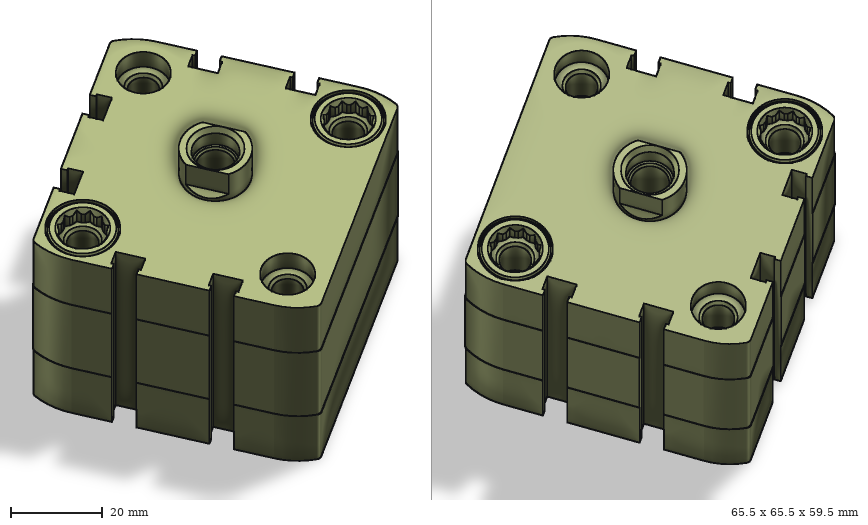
import cadquery as cq
import math

WIDTH = 65.5
HALF = WIDTH / 2
OVERALL_HEIGHT = 59.55
ROD_PROJECTION = 8.4
HOUSING_TOP = OVERALL_HEIGHT - ROD_PROJECTION
CAP_HEIGHT = 15.0
CAP_INSET = 0.1
CORNER_START = 23.0
CORNER_RADIUS = 18.35
CORNER_EDGE_RADIUS = 1.3

SLOT_OFFSET = 11.1
SLOT_MOUTH = 5.6
SLOT_INNER_WIDTH = 6.75
SLOT_LIP = 1.6
SLOT_DEPTH = 5.0

HOLE_OFFSET = 23.25
THROUGH_DIAMETER = 6.6
CAP_BORE_DIAMETER = 7.0
COUNTERSINK_DIAMETER = 8.4
COUNTERBORE_DIAMETER = 12.0
COUNTERBORE_DEPTH = 5.0

SOCKET_POINTS = 12
SOCKET_TIP_RADIUS = 5.7
SOCKET_BORE_DIAMETER = 10.5
SOCKET_MOUTH_DEPTH = 1.45
SOCKET_DEPTH = 4.25
COLLAR_GROOVE_DIAMETER = 16.4
COLLAR_BASE_DIAMETER = 15.5
COLLAR_TOP_DIAMETER = 14.6
COLLAR_GROOVE_DEPTH = 1.0

ROD_DIAMETER = 16.0
ROD_BOTTOM = CAP_HEIGHT
FLAT_WIDTH = 12.7
FLAT_LENGTH = 6.55
FLAT_RUNOUT = 1.05
ROD_MOUTH_DIAMETER = 12.65
ROD_BORE_DIAMETER = 10.5
ROD_BORE_DEPTH = 4.9
ROD_LEAD_IN_DIAMETER = 9.35
ROD_DRILL_DIAMETER = 8.4
ROD_DRILL_DEPTH = 19.65
DRILL_POINT_ANGLE = 118.0


def rounded_block(bottom, height, inset=0.0):
    """Square block whose four corners curve from the Y faces into the X faces."""
    half = HALF - inset
    start = CORNER_START
    centre = HALF - CORNER_RADIUS
    reach = half - start
    radius = CORNER_RADIUS - inset

    def on_corner(x_from_start):
        return centre + math.sqrt(radius ** 2 - x_from_start ** 2)

    mid = (start + reach / 2, on_corner(reach / 2))
    end = (half, on_corner(reach))
    outline = (
        cq.Workplane("XY", origin=(0, 0, bottom))
        .moveTo(-start, half)
        .lineTo(start, half)
        .threePointArc(mid, end)
        .lineTo(end[0], -end[1])
        .threePointArc((mid[0], -mid[1]), (start, -half))
        .lineTo(-start, -half)
        .threePointArc((-mid[0], -mid[1]), (-end[0], -end[1]))
        .lineTo(-end[0], end[1])
        .threePointArc((-mid[0], mid[1]), (-start, half))
        .close()
    )
    return outline.extrude(height).edges("|Z and (>X or <X)").fillet(CORNER_EDGE_RADIUS)


def t_slot(offset, side_angle):
    """Full-height T-slot cutter, cut into the side facing side_angle."""
    mouth = cq.Workplane("XY").box(
        SLOT_DEPTH, SLOT_MOUTH, HOUSING_TOP, centered=(False, True, False)
    )
    pocket = cq.Workplane("XY").box(
        SLOT_DEPTH - SLOT_LIP, SLOT_INNER_WIDTH, HOUSING_TOP, centered=(False, True, False)
    )
    return (
        mouth.union(pocket)
        .translate((HALF - SLOT_DEPTH, offset, 0))
        .rotate((0, 0, 0), (0, 0, 1), side_angle)
    )


def turned(profile):
    """Solid of revolution about Z from (radius, height) points."""
    return cq.Workplane("XZ").polyline(profile).close().revolve(360, (0, 0, 0), (0, 1, 0))


def through_hole(floor):
    """Stepped through hole with a countersink at the given floor height."""
    radius = THROUGH_DIAMETER / 2
    cap_radius = CAP_BORE_DIAMETER / 2
    sink_radius = COUNTERSINK_DIAMETER / 2
    cap_bottom = HOUSING_TOP - CAP_HEIGHT
    sink_bottom = floor - (sink_radius - cap_radius)
    return turned([
        (0, 0),
        (radius, 0),
        (radius, cap_bottom),
        (cap_radius, cap_bottom),
        (cap_radius, sink_bottom),
        (sink_radius, floor),
        (0, floor),
    ])


def counterbored_hole():
    """Through hole below a plain cylindrical counterbore."""
    floor = HOUSING_TOP - COUNTERBORE_DEPTH
    counterbore = (
        cq.Workplane("XY", origin=(0, 0, floor))
        .circle(COUNTERBORE_DIAMETER / 2)
        .extrude(COUNTERBORE_DEPTH)
    )
    return through_hole(floor).union(counterbore)


def twelve_point_star(floor, height):
    """Two hexagons, one turned by one point spacing, joined with the socket bore."""
    star = cq.Workplane("XY", origin=(0, 0, floor)).circle(SOCKET_BORE_DIAMETER / 2).extrude(height)
    for turn in (0, 360 / SOCKET_POINTS):
        hexagon = (
            cq.Workplane("XY", origin=(0, 0, floor))
            .polygon(6, 2 * SOCKET_TIP_RADIUS)
            .extrude(height)
            .rotate((0, 0, 0), (0, 0, 1), turn)
        )
        star = star.union(hexagon)
    return star


def socket_hole():
    """Through hole with a twelve-point socket, conical mouth and ring groove."""
    floor = HOUSING_TOP - SOCKET_DEPTH
    mouth_radius = COUNTERBORE_DIAMETER / 2
    bore_radius = SOCKET_BORE_DIAMETER / 2
    mouth_bottom = HOUSING_TOP - SOCKET_MOUTH_DEPTH
    mouth = turned(
        [(0, HOUSING_TOP), (mouth_radius, HOUSING_TOP), (bore_radius, mouth_bottom), (0, mouth_bottom)]
    )
    outer = COLLAR_GROOVE_DIAMETER / 2
    base = COLLAR_BASE_DIAMETER / 2
    top = COLLAR_TOP_DIAMETER / 2
    chamfer_bottom = HOUSING_TOP - (base - top)
    groove_floor = HOUSING_TOP - COLLAR_GROOVE_DEPTH
    groove = turned([
        (top, HOUSING_TOP),
        (base, chamfer_bottom),
        (base, groove_floor),
        (outer, groove_floor),
        (outer, HOUSING_TOP),
    ])
    return through_hole(floor).union(twelve_point_star(floor, SOCKET_DEPTH)).union(mouth).union(groove)


def rod_cylinder():
    """Plain rod envelope; it also cuts the matching hole in the housing."""
    return (
        cq.Workplane("XY", origin=(0, 0, ROD_BOTTOM))
        .circle(ROD_DIAMETER / 2)
        .extrude(OVERALL_HEIGHT - ROD_BOTTOM)
    )


def make_housing():
    """Barrel between two end caps, with slots, corner holes and the rod hole."""
    barrel_height = HOUSING_TOP - 2 * CAP_HEIGHT
    housing = (
        rounded_block(0, CAP_HEIGHT, CAP_INSET)
        .union(rounded_block(CAP_HEIGHT, barrel_height))
        .union(rounded_block(HOUSING_TOP - CAP_HEIGHT, CAP_HEIGHT, CAP_INSET))
    )
    for side_angle in (90, 180, 270):
        for offset in (-SLOT_OFFSET, SLOT_OFFSET):
            housing = housing.cut(t_slot(offset, side_angle))
    for side in (-HOLE_OFFSET, HOLE_OFFSET):
        housing = housing.cut(socket_hole().translate((side, side, 0)))
        housing = housing.cut(counterbored_hole().translate((side, -side, 0)))
    return housing.cut(rod_cylinder())


def wrench_flat():
    """Cutter for the flat on the +Y side, ending in a sloped run-out."""
    flat = FLAT_WIDTH / 2
    rod_radius = ROD_DIAMETER / 2
    ledge = OVERALL_HEIGHT - FLAT_LENGTH
    return (
        cq.Workplane("YZ")
        .polyline([
            (flat, OVERALL_HEIGHT),
            (flat, ledge),
            (rod_radius, ledge - FLAT_RUNOUT),
            (rod_radius, OVERALL_HEIGHT),
        ])
        .close()
        .extrude(rod_radius, both=True)
    )


def rod_bore():
    """Stepped blind hole with chamfered mouth and drill-point bottom."""
    mouth = ROD_MOUTH_DIAMETER / 2
    bore = ROD_BORE_DIAMETER / 2
    lead_in = ROD_LEAD_IN_DIAMETER / 2
    drill = ROD_DRILL_DIAMETER / 2
    step = OVERALL_HEIGHT - ROD_BORE_DEPTH
    drill_end = OVERALL_HEIGHT - ROD_DRILL_DEPTH
    tip = drill_end - drill / math.tan(math.radians(DRILL_POINT_ANGLE / 2))
    return turned([
        (0, OVERALL_HEIGHT),
        (mouth, OVERALL_HEIGHT),
        (bore, OVERALL_HEIGHT - (mouth - bore)),
        (bore, step),
        (lead_in, step),
        (drill, step - (lead_in - drill)),
        (drill, drill_end),
        (0, tip),
    ])


def make_rod():
    """Piston rod with two opposite wrench flats and a blind bore."""
    flat = wrench_flat()
    return rod_cylinder().cut(flat).cut(flat.mirror("XZ")).cut(rod_bore())


housing = make_housing()
rod = make_rod()

result = cq.Compound.makeCompound([housing.val(), rod.val()])